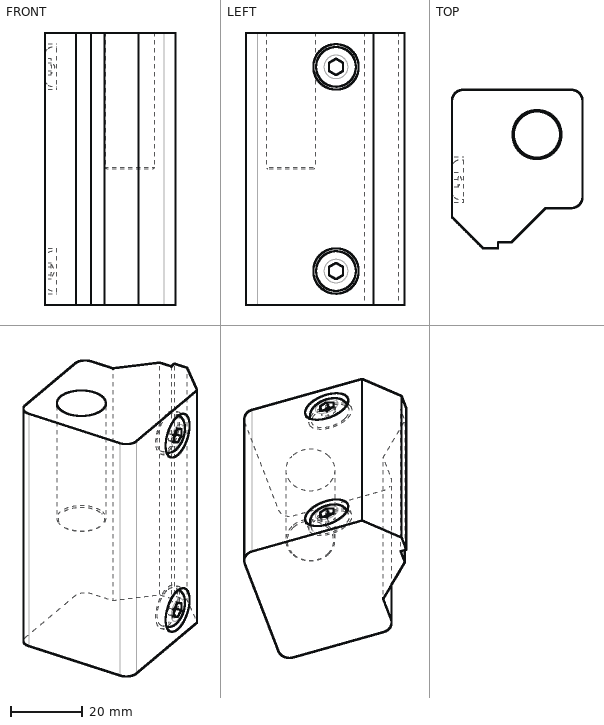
import cadquery as cq
import math

width = 36.65
depth = 44.4
height = 76.2
corner_radius = 3.3
left_bevel = 8.8
nose_end_x = 12.95
shelf_y = 1.7
shelf_end_x = 16.8
flank_end_x = 26.3
right_foot_y = shelf_y + flank_end_x - shelf_end_x

bore_x = 23.85
bore_y = 31.85
bore_diameter = 13.7
bore_depth = 38.1
bore_floor_chamfer = 0.4

screw_y = 19.2
screw_end_distance = 9.5
recess_diameter = 12.7
recess_depth = 3.3
head_diameter = 11.1
head_flat_diameter = 6.6
socket_across_flats = 4.0
socket_depth = 1.7
socket_cone_depth = 1.15


def make_block():
    outline = (
        cq.Workplane("XY")
        .moveTo(left_bevel, 0)
        .lineTo(nose_end_x, 0)
        .lineTo(nose_end_x, shelf_y)
        .lineTo(shelf_end_x, shelf_y)
        .lineTo(flank_end_x, right_foot_y)
        .lineTo(width, right_foot_y)
        .lineTo(width, depth)
        .lineTo(0, depth)
        .lineTo(0, left_bevel)
        .close()
    )
    block = outline.extrude(height)
    return block.edges("|Z and (>Y or >X)").fillet(corner_radius)


def make_bore():
    return (
        cq.Workplane("XY", origin=(bore_x, bore_y, height - bore_depth))
        .circle(bore_diameter / 2)
        .extrude(bore_depth)
        .faces("<Z")
        .edges()
        .chamfer(bore_floor_chamfer)
    )


def left_face_plane(z):
    """Workplane on a screw axis, facing into the block from the left face."""
    return cq.Workplane(cq.Plane(origin=(0, screw_y, z), xDir=(0, 1, 0), normal=(1, 0, 0)))


def make_recess(z):
    return left_face_plane(z).circle(recess_diameter / 2).extrude(recess_depth)


def make_screw_head(z):
    head = (
        left_face_plane(z)
        .circle(head_diameter / 2)
        .extrude(recess_depth)
        .faces("<X")
        .edges()
        .fillet((head_diameter - head_flat_diameter) / 2)
    )
    return head.cut(make_socket(z))


def make_socket(z):
    corner_diameter = socket_across_flats / math.cos(math.pi / 6)
    tip_depth = socket_depth + socket_cone_depth
    hexagon = (
        left_face_plane(z)
        .transformed(rotate=(0, 0, 90))
        .polygon(6, corner_diameter)
        .extrude(tip_depth)
    )
    pointed_end = (
        cq.Workplane("XY", origin=(0, screw_y, z))
        .moveTo(0, 0)
        .lineTo(0, corner_diameter / 2)
        .lineTo(socket_depth, corner_diameter / 2)
        .lineTo(tip_depth, 0)
        .close()
        .revolve(360, (0, 0), (1, 0))
    )
    return hexagon.intersect(pointed_end)


result = make_block().cut(make_bore())
for screw_z in (screw_end_distance, height - screw_end_distance):
    result = result.cut(make_recess(screw_z)).union(make_screw_head(screw_z))